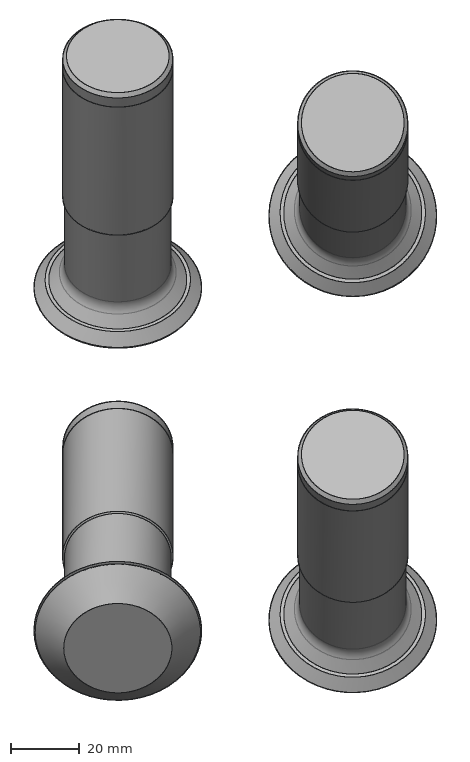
import cadquery as cq
import math

total_height = 104.93
neck_radius = 15.5
foot_radius = 15.7
neck_bottom_z = 18.85
flare_fillet = 5.0
shank_radius = 16.05
shank_bottom_z = 46.7
shank_step_height = 0.3
tip_bottom_z = 100.05
tip_radius = 16.0
tip_chamfer = 1.1

cone_angle = math.radians(45)
fillet_center_radius = neck_radius + flare_fillet
flare_top_radius = fillet_center_radius - flare_fillet * math.cos(cone_angle)
flare_top_z = neck_bottom_z - flare_fillet * math.sin(cone_angle)
rim_radius = (flare_top_radius + flare_top_z + foot_radius) / 2
rim_z = rim_radius - foot_radius

ring_radius = 24.36
ring_top_radius = 21.1
ring_top_z = 12.25
ring_bottom_z = 9.0


def flare_radius_at(z):
    """Radius of the stem's flare at height z."""
    return rim_radius - (z - rim_z)


def revolve_about_z(outline):
    return outline.close().revolve(360, (0, 0, 0), (0, 1, 0))


def make_stem():
    """Round stem: conical foot, flare, filleted neck, wider shank and a chamfered, slightly narrower tip."""
    fillet_mid = (
        fillet_center_radius - flare_fillet * math.cos(cone_angle / 2),
        neck_bottom_z - flare_fillet * math.sin(cone_angle / 2),
    )
    outline = (
        cq.Workplane("XZ")
        .lineTo(foot_radius, 0)
        .lineTo(rim_radius, rim_z)
        .lineTo(flare_top_radius, flare_top_z)
        .threePointArc(fillet_mid, (neck_radius, neck_bottom_z))
        .lineTo(neck_radius, shank_bottom_z)
        .lineTo(shank_radius, shank_bottom_z + shank_step_height)
        .lineTo(shank_radius, tip_bottom_z)
        .lineTo(tip_radius, tip_bottom_z)
        .lineTo(tip_radius, total_height - tip_chamfer)
        .lineTo(tip_radius - tip_chamfer, total_height)
        .lineTo(0, total_height)
    )
    return revolve_about_z(outline)


def make_seal_ring():
    """Conical ring with flat top and bottom, its bore matching the flare."""
    outline = (
        cq.Workplane("XZ")
        .moveTo(flare_radius_at(ring_bottom_z), ring_bottom_z)
        .lineTo(ring_radius, ring_bottom_z)
        .lineTo(ring_top_radius, ring_top_z)
        .lineTo(flare_radius_at(ring_top_z), ring_top_z)
    )
    return revolve_about_z(outline)


stem = make_stem()
seal_ring = make_seal_ring()

result = cq.Compound.makeCompound([stem.val(), seal_ring.val()])